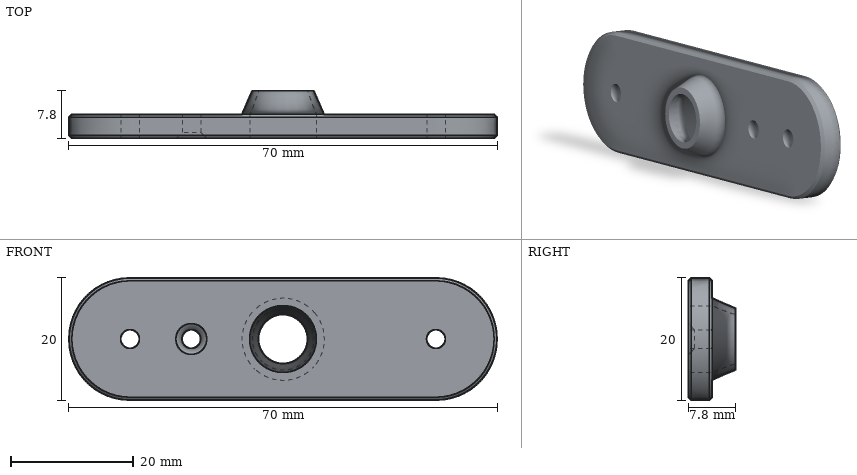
import cadquery as cq

length = 70.0
height = length * 2 / 7
thickness = 3.9
edge_chamfer = 0.5

total_depth = 7.8
boss_base_radius = 6.7
boss_tip_radius = 5.05

bore_radius = 5.45
bore_depth = 3.9
throat_radius = 5.0
throat_depth = 5.05
exit_radius = 4.0

hole_diameter = 3.0
end_hole_x = (length - height) / 2
countersunk_x = -15.0
countersink_diameter = 5.05
countersink_angle = 90


def revolve_about_y(profile):
    """Turn a closed (radius, depth) profile about the Y axis."""
    return cq.Workplane("XY").polyline(profile).close().revolve(360, (0, 0, 0), (0, 1, 0))


plate = cq.Workplane("XZ").slot2D(length, height).extrude(-thickness)
plate = plate.faces("<Y or >Y").chamfer(edge_chamfer)

boss = revolve_about_y([
    (0, 0.5 * thickness),
    (boss_base_radius, 0.5 * thickness),
    (boss_base_radius, thickness),
    (boss_tip_radius, total_depth),
    (0, total_depth),
])

bore = revolve_about_y([
    (0, 0),
    (bore_radius, 0),
    (bore_radius, bore_depth),
    (throat_radius, throat_depth),
    (exit_radius, total_depth),
    (0, total_depth),
])

result = plate.union(boss).cut(bore)

end_holes = (
    cq.Workplane("XZ")
    .pushPoints([(-end_hole_x, 0), (end_hole_x, 0)])
    .circle(hole_diameter / 2)
    .extrude(-thickness)
)
result = result.cut(end_holes)

result = (
    result.faces("<Y")
    .workplane(origin=(countersunk_x, 0, 0))
    .cskHole(hole_diameter, countersink_diameter, countersink_angle)
)